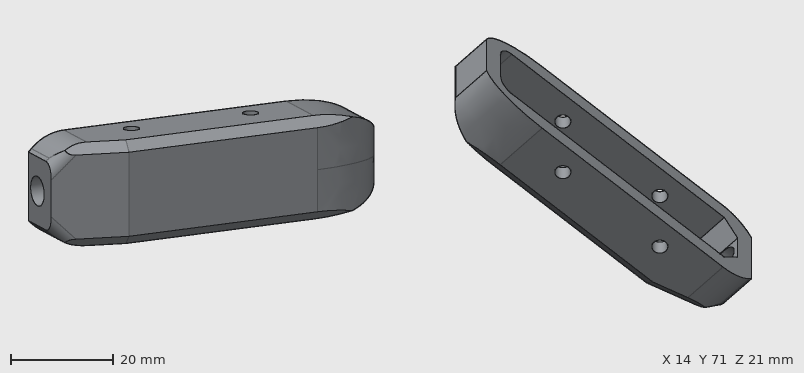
import cadquery as cq
import math

depth = 14.0
length = 71.0
height = 21.0
half_length = length / 2
half_height = height / 2

slope_start_y = -20.45
slope_end_x = 10.1
edge_chamfer = 2.0
slope_run = slope_start_y + half_length
slope_ratio = (depth - slope_end_x) / slope_run

nose_half_height = 6.95
nose_blend_radius = 10.0
nose_corner_radius = 2.8

tail_curve_length = 14.85
tail_ellipse_along = 15.1
tail_ellipse_across = 6.4
tail_curve_points = 8

wall = 3.8
pocket_half_height = 6.75
pocket_corner_radius = 3.0
pocket_corner_chamfer = 3.55

nose_hole_diameter = 6.0
nose_hole_x = 4.0
cross_hole_diameter = 3.1
cross_hole_x = 4.9
cross_hole_y = (10.5, -15.5)

tail_start_y = half_length - tail_curve_length
relief_rise = half_height - nose_half_height


def tail_curve(face):
    """Points and end tangents, as (across, y), of the ellipse arc that bends a face into the tail."""
    end_angle = math.asin(tail_curve_length / tail_ellipse_along)
    angles = [end_angle * i / tail_curve_points for i in range(tail_curve_points + 1)]
    points = [
        (
            face - tail_ellipse_across * (1 - math.cos(angle)),
            tail_start_y + tail_ellipse_along * math.sin(angle),
        )
        for angle in angles
    ]
    end_tangent = (
        -tail_ellipse_across * math.sin(end_angle),
        tail_ellipse_along * math.cos(end_angle),
    )
    return points, [(0, 1), end_tangent]


def back_outline(back_x, bend_y, end_y):
    """Plan outline from the open face to a back that slopes near the nose."""
    nose_x = back_x - slope_ratio * (bend_y + end_y)
    return [(0, -end_y), (nose_x, -end_y), (back_x, bend_y), (back_x, end_y), (0, end_y)]


def sloped_block():
    """Block with a sloped back, chamfered along its back edges."""
    block = cq.Workplane("XY").polyline(back_outline(depth, slope_start_y, half_length)).close()
    block = block.extrude(half_height, both=True)
    for side in (1, -1):
        middles = (
            (depth, (slope_start_y + half_length) / 2, side * half_height),
            ((depth + slope_end_x) / 2, (slope_start_y - half_length) / 2, side * half_height),
        )
        straight, sloped = [cq.selectors.NearestToPointSelector(middle) for middle in middles]
        block = block.edges(straight + sloped).chamfer(edge_chamfer)
    return block


def nose_envelope():
    """Sloped block with 45 degree nose reliefs whose back edges are rounded."""
    block = cq.Workplane("XY").polyline(back_outline(depth, slope_start_y, half_length)).close()
    block = block.extrude(half_height, both=True)
    block = block.faces("<Y").edges("|X").chamfer(relief_rise)
    corner_x = slope_end_x + slope_ratio * relief_rise / 2
    corner_y = -half_length + relief_rise / 2
    for side in (1, -1):
        corner = (corner_x, corner_y, side * (nose_half_height + relief_rise / 2))
        block = block.edges(cq.selectors.NearestToPointSelector(corner)).fillet(nose_corner_radius)
    return block


def side_envelope():
    """Side profile with blended nose reliefs and elliptical tail curves."""
    half_turn = math.pi / 8
    blend_y = -half_length + relief_rise + nose_blend_radius * math.tan(half_turn)
    blend_z = half_height - nose_blend_radius
    mid_y = blend_y - nose_blend_radius * math.sin(half_turn)
    mid_z = blend_z + nose_blend_radius * math.cos(half_turn)
    end_y = blend_y - nose_blend_radius * math.sin(2 * half_turn)
    end_z = blend_z + nose_blend_radius * math.cos(2 * half_turn)
    points, tangents = tail_curve(half_height)
    half = (
        cq.Workplane("YZ")
        .moveTo(-half_length, 0)
        .lineTo(-half_length, nose_half_height)
        .lineTo(end_y, end_z)
        .threePointArc((mid_y, mid_z), (blend_y, half_height))
        .lineTo(tail_start_y, half_height)
        .spline([(y, z) for z, y in points], tangents=[(y, z) for z, y in tangents])
        .lineTo(half_length, 0)
        .close()
        .extrude(depth)
    )
    return half.union(half.mirror("XY"))


def tail_envelope():
    """Plan profile whose back curves elliptically into the tail."""
    points, tangents = tail_curve(depth)
    return (
        cq.Workplane("XY")
        .moveTo(0, -half_length)
        .lineTo(depth, -half_length)
        .lineTo(depth, tail_start_y)
        .spline(points, tangents=tangents)
        .lineTo(0, half_length)
        .close()
        .extrude(half_height, both=True)
    )


def pocket():
    """Pocket from the open face, its floor a constant wall away from the back."""
    pocket_end = half_length - wall
    floor_bend_y = slope_start_y + wall * math.tan(math.atan(slope_ratio) / 2)
    cut = cq.Workplane("XY").polyline(back_outline(depth - wall, floor_bend_y, pocket_end)).close()
    cut = cut.extrude(pocket_half_height, both=True)
    cut = cut.faces(">Y").edges("|X").fillet(pocket_corner_radius)
    return cut.faces("<Y").edges("|X").chamfer(pocket_corner_chamfer)


def nose_hole():
    """Hole along Y through the nose wall into the pocket."""
    return (
        cq.Workplane("XZ", origin=(nose_hole_x, -half_length, 0))
        .circle(nose_hole_diameter / 2)
        .extrude(-2 * wall)
    )


def cross_holes():
    """Holes along Z through both long walls."""
    return (
        cq.Workplane("XY")
        .pushPoints([(cross_hole_x, y) for y in cross_hole_y])
        .circle(cross_hole_diameter / 2)
        .extrude(half_height, both=True)
    )


outside = side_envelope().intersect(tail_envelope())
body = sloped_block().intersect(nose_envelope()).intersect(outside)
result = body.cut(pocket()).cut(nose_hole()).cut(cross_holes())